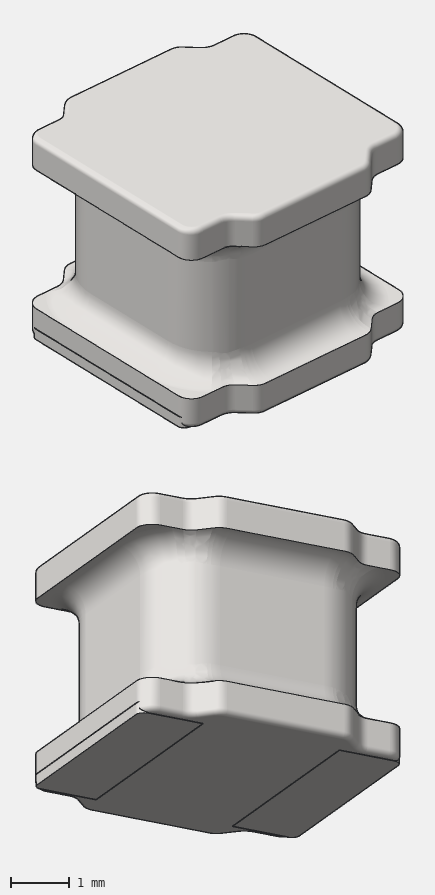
import cadquery as cq

flange_half_width = 2.5
flange_thickness = 0.605
body_height = 4.01
tab_half_width = 2.11
step_inner_y = 1.25
step_outer_y = step_inner_y + (flange_half_width - tab_half_width)
flange_corner_radius = 0.3
flange_edge_radius = 0.1

neck_half_width = 2.005
neck_corner_radius = 1.005
cove_radius = 0.49

pad_proud = 0.01
pad_height = 0.21
pad_corner_radius = 0.15
pad_half_width = tab_half_width - flange_corner_radius + pad_corner_radius
pad_outer_y = flange_half_width + pad_proud
pad_inner_y = 1.305


def make_flange(bottom_z):
    """A plate whose four corners step inward along the X sides."""
    right_side = [
        (tab_half_width, -flange_half_width),
        (tab_half_width, -step_outer_y),
        (flange_half_width, -step_inner_y),
        (flange_half_width, step_inner_y),
        (tab_half_width, step_outer_y),
        (tab_half_width, flange_half_width),
    ]
    left_side = [(-x, -y) for x, y in right_side]
    return (
        cq.Workplane("XY", origin=(0, 0, bottom_z))
        .polyline(right_side + left_side)
        .close()
        .extrude(flange_thickness)
        .edges("|Z")
        .fillet(flange_corner_radius)
    )


def make_neck():
    """The rounded square column between the flanges."""
    width = 2 * neck_half_width
    return (
        cq.Workplane("XY", origin=(0, 0, flange_thickness))
        .rect(width, width)
        .extrude(body_height - 2 * flange_thickness)
        .edges("|Z")
        .fillet(neck_corner_radius)
    )


def make_pad(side):
    """One solder pad wrapping the bottom edge on the +Y (1) or -Y (-1) side."""
    return (
        cq.Workplane("XY", origin=(0, side * (pad_inner_y + pad_outer_y) / 2, -pad_proud))
        .rect(2 * pad_half_width, pad_outer_y - pad_inner_y)
        .extrude(pad_height)
        .edges("|Z")
        .edges(">Y" if side > 0 else "<Y")
        .fillet(pad_corner_radius)
    )


top_flange_z = body_height - flange_thickness
body = make_flange(0).union(make_neck()).union(make_flange(top_flange_z))

margin = 0.05
box_half_width = neck_half_width + margin
neck_ends = cq.selectors.BoxSelector(
    (-box_half_width, -box_half_width, flange_thickness - margin),
    (box_half_width, box_half_width, top_flange_z + margin),
    boundingbox=True,
)
body = body.edges(neck_ends).edges("#Z").fillet(cove_radius)

body = body.faces("<Z or >Z").edges().fillet(flange_edge_radius)

result = body.union(make_pad(1)).union(make_pad(-1))